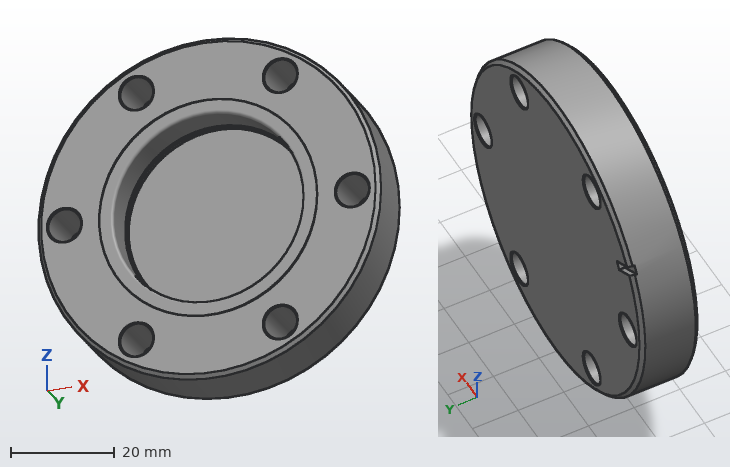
import cadquery as cq
import math

outer_radius = 34.9
total_depth = 12.9
face_height = 0.2
face_radius = 22.2
rim_chamfer = 0.85

bore_radius = 19.3
bore_depth = 8.25
mouth_fillet = 0.6
step_radius = 19.0
step_height = 1.05

bolt_count = 6
bolt_circle_radius = 29.35
bolt_radius = 3.35
bolt_chamfer = 0.2

groove_angle = 150.0
groove_width = 1.8
groove_depth = 1.25
groove_length = 5.6

back_y = total_depth / 2
face_y = -back_y
flange_y = face_y + face_height


def make_body():
    """Revolve the half section (radius, y) about the Y axis."""
    floor_y = face_y + bore_depth
    cone_y = floor_y - step_height
    cone_height = bore_radius - step_radius
    arc_offset = mouth_fillet * (1 - math.sqrt(0.5))
    return (
        cq.Workplane("XY")
        .moveTo(0, floor_y)
        .lineTo(step_radius, floor_y)
        .lineTo(step_radius, cone_y)
        .lineTo(bore_radius, cone_y - cone_height)
        .lineTo(bore_radius, face_y + mouth_fillet)
        .threePointArc(
            (bore_radius + arc_offset, face_y + arc_offset),
            (bore_radius + mouth_fillet, face_y),
        )
        .lineTo(face_radius, face_y)
        .lineTo(face_radius, flange_y)
        .lineTo(outer_radius - rim_chamfer, flange_y)
        .lineTo(outer_radius, flange_y + rim_chamfer)
        .lineTo(outer_radius, back_y - rim_chamfer)
        .lineTo(outer_radius - rim_chamfer, back_y)
        .lineTo(0, back_y)
        .close()
        .revolve(360, (0, 0, 0), (0, 1, 0))
    )


def make_bolt_hole(angle):
    """Through hole flared by a chamfer at both flange faces."""
    mouth_radius = bolt_radius + bolt_chamfer
    profile = [
        (0, flange_y),
        (mouth_radius, flange_y),
        (bolt_radius, flange_y + bolt_chamfer),
        (bolt_radius, back_y - bolt_chamfer),
        (mouth_radius, back_y),
        (0, back_y),
    ]
    hole = cq.Workplane("XY").polyline(profile).close().revolve(360, (0, 0, 0), (0, 1, 0))
    x = bolt_circle_radius * math.cos(math.radians(angle))
    z = bolt_circle_radius * math.sin(math.radians(angle))
    return hole.translate((x, 0, z))


def make_groove():
    """Square-cornered cutter, turned from +X towards +Z by the groove angle."""
    cutter = cq.Workplane("XY").box(2 * groove_length, 2 * groove_depth, groove_width)
    return cutter.translate((outer_radius, back_y, 0)).rotate((0, 0, 0), (0, 1, 0), -groove_angle)


result = make_body()
for index in range(bolt_count):
    result = result.cut(make_bolt_hole(index * 360 / bolt_count))
result = result.cut(make_groove())